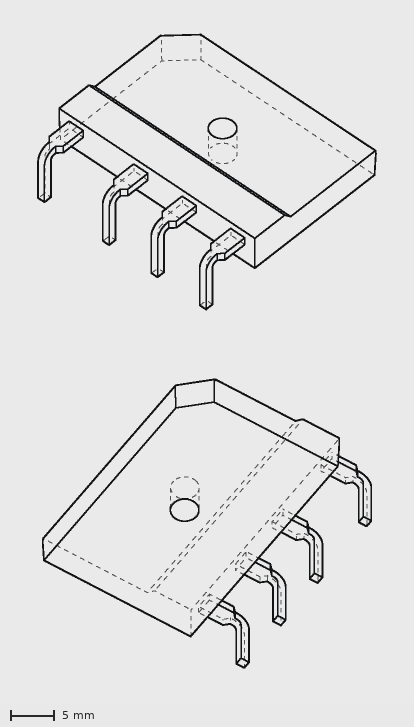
import cadquery as cq
import math

body_width = 30.3
body_depth = 20.3
body_height = 5.05
parting_drop = 1.55
parting_height = body_height - parting_drop
step_drop = 1.0
deck_height = body_height - step_drop
corner_cut = 3.2
lower_inset = 0.11
lower_draft = math.degrees(math.atan2(lower_inset, parting_height))
back_inset = 0.08
upper_draft = math.degrees(math.atan2(back_inset, deck_height - parting_height))

bar_depth = 5.0
ramp_depth = step_drop

hole_diameter = 3.25
hole_distance = 11.0

lead_centers = (-12.5, -2.5, 5.0, 12.5)
lead_thickness = 1.1
lead_reach = 5.85
lead_drop = 8.7
lead_top = deck_height
lead_tip = body_height - lead_drop
inner_radius = 0.6
outer_radius = inner_radius + lead_thickness
shoulder_width = 2.2
pin_width = 1.0
shoulder_length = 3.35
taper_length = (shoulder_width - pin_width) / 2
lead_embed = 1.0


def make_lower_body():
    """Half below the parting line, tapering inward towards the underside."""
    left = -body_width / 2
    right = body_width / 2
    outline = [
        (left, 0),
        (right, 0),
        (right, body_depth),
        (left + corner_cut, body_depth),
        (left, body_depth - corner_cut),
    ]
    return (
        cq.Workplane("XY", origin=(0, 0, parting_height))
        .polyline(outline)
        .close()
        .extrude(-parting_height, taper=lower_draft)
    )


def make_upper_body():
    """Half above the parting line: thin deck, ramp and raised front bar."""
    profile = [
        (0, parting_height),
        (body_depth, parting_height),
        (body_depth - back_inset, deck_height),
        (bar_depth + ramp_depth, deck_height),
        (bar_depth, body_height),
        (0, body_height),
    ]
    upper = (
        cq.Workplane("YZ")
        .polyline(profile)
        .close()
        .extrude(body_width / 2, both=True)
    )
    left = -body_width / 2
    corner = (
        cq.Workplane("XY", origin=(0, 0, parting_height))
        .polyline([
            (left, body_depth - corner_cut),
            (left + corner_cut, body_depth),
            (left, body_depth),
        ])
        .close()
        .extrude(deck_height - parting_height, taper=-upper_draft)
    )
    return upper.cut(corner)


def make_hole():
    return (
        cq.Workplane("XY")
        .center(0, hole_distance)
        .circle(hole_diameter / 2)
        .extrude(body_height)
    )


def make_lead(center_x):
    """Flat lead with a wide shoulder, necked to a pin and bent straight down."""
    bend_y = outer_radius - lead_reach
    bend_z = lead_top - outer_radius
    lead_bottom = lead_top - lead_thickness
    diagonal = math.sqrt(0.5)
    bent_strip = (
        cq.Workplane("YZ", origin=(center_x, 0, 0))
        .moveTo(lead_embed, lead_top)
        .lineTo(bend_y, lead_top)
        .threePointArc(
            (bend_y - outer_radius * diagonal, bend_z + outer_radius * diagonal),
            (-lead_reach, bend_z),
        )
        .lineTo(-lead_reach, lead_tip)
        .lineTo(lead_thickness - lead_reach, lead_tip)
        .lineTo(lead_thickness - lead_reach, bend_z)
        .threePointArc(
            (bend_y - inner_radius * diagonal, bend_z + inner_radius * diagonal),
            (bend_y, lead_bottom),
        )
        .lineTo(lead_embed, lead_bottom)
        .close()
        .extrude(pin_width / 2, both=True)
    )
    neck_y = -shoulder_length - taper_length
    shoulder = (
        cq.Workplane("XY", origin=(center_x, 0, lead_bottom))
        .polyline([
            (-shoulder_width / 2, lead_embed),
            (-shoulder_width / 2, -shoulder_length),
            (-pin_width / 2, neck_y),
            (pin_width / 2, neck_y),
            (shoulder_width / 2, -shoulder_length),
            (shoulder_width / 2, lead_embed),
        ])
        .close()
        .extrude(lead_thickness)
    )
    return bent_strip.union(shoulder)


result = make_lower_body().union(make_upper_body()).cut(make_hole())
for lead_center in lead_centers:
    result = result.union(make_lead(lead_center))